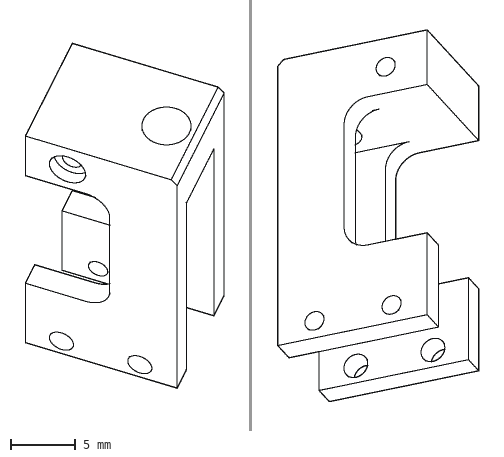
import cadquery as cq

length_x = 12.6
width_y = 10.0
height_z = 25.0
top_edge_chamfer = 0.5

front_leg_thickness = 2.0
back_leg_thickness = 2.2
top_block_height = 4.8
slot_width = width_y - front_leg_thickness - back_leg_thickness
slot_center_y = (front_leg_thickness - back_leg_thickness) / 2

window_depth = 7.0
foot_height = 7.2
window_radius = 2.0
window_height = height_z - top_block_height - foot_height

vertical_hole_diameter = 3.8
vertical_hole_x = 9.8

screw_diameter = 1.6
head_diameter = 3.0
head_depth = 1.0
screw_x = 3.5
screw_z = height_z - 2.5

front_pin_diameter = 2.0
back_pin_diameter = 1.6
first_pin_x = 3.0
pin_spacing = 6.5
pin_z = 1.5

front_y = -width_y / 2


def cylinder_along_y(diameter, x, z, depth):
    """Cylinder that runs from the front face toward +Y."""
    return cq.Workplane("XZ", origin=(x, front_y, z)).circle(diameter / 2).extrude(-depth)


def make_body():
    block = cq.Workplane("XY").box(length_x, width_y, height_z, centered=(False, True, False))
    return block.faces(">Z").edges(">X").chamfer(top_edge_chamfer)


def make_slot():
    slot = cq.Workplane("XY").box(
        length_x, slot_width, height_z - top_block_height, centered=(False, True, False)
    )
    return slot.translate((0, slot_center_y, 0))


def make_window():
    window = cq.Workplane("XY", origin=(0, 0, foot_height)).box(
        window_depth, width_y, window_height, centered=(False, True, False)
    )
    return window.edges("|Y and >X").fillet(window_radius)


def make_vertical_hole():
    center = (vertical_hole_x, slot_center_y, 0)
    return cq.Workplane("XY", origin=center).circle(vertical_hole_diameter / 2).extrude(height_z)


def make_screw_hole():
    shank = cylinder_along_y(screw_diameter, screw_x, screw_z, width_y)
    head = cylinder_along_y(head_diameter, screw_x, screw_z, head_depth)
    return shank.union(head)


def make_pin_hole(x):
    through = cylinder_along_y(back_pin_diameter, x, pin_z, width_y)
    front = cylinder_along_y(front_pin_diameter, x, pin_z, front_leg_thickness)
    return through.union(front)


result = make_body().cut(make_slot()).cut(make_window())
result = result.cut(make_vertical_hole()).cut(make_screw_hole())
for pin_x in (first_pin_x, first_pin_x + pin_spacing):
    result = result.cut(make_pin_hole(pin_x))